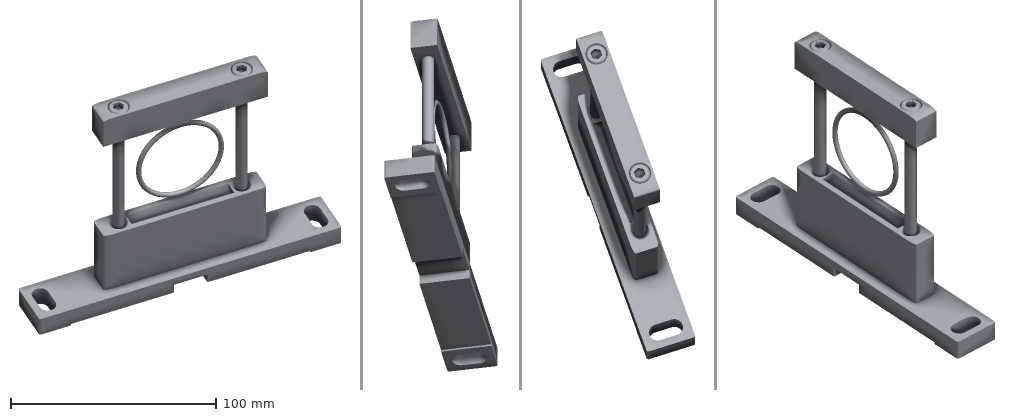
import cadquery as cq
import math

base_length = 162.0
base_width = 25.0
base_height = 10.2
base_corner_radius = 1.0
foot_length = 16.8
foot_height = 1.0
notch_width = 18.0
notch_height = 6.0
slot_length = 17.0
slot_width = 8.5
slot_end_distance = 8.1

block_length = 87.3
block_width = 13.3
block_top = 45.5
block_corner_radius = 1.1
groove_length = 55.0
groove_width = 7.3
groove_half_angle = 30.0

bar_length = 88.3
bar_width = block_width
bar_height = 17.0
bar_top = 121.5
bar_edge_radius = 0.8
bar_bottom = bar_top - bar_height

easing_length = 4.5
easing_radius = 13.0

screw_spacing = 66.0
shank_diameter = 6.0
head_diameter = 10.0
head_height = 6.0
head_chamfer = 0.6
shank_length = 80.0
socket_flats = 5.0
socket_tip_diameter = 4.9
socket_depth = 3.0
socket_tip_half_angle = 60.0
clearance_diameter = 6.5
counterbore_diameter = 10.4
counterbore_chamfer = 0.5
countersink_diameter = 9.5
screw_places = [-screw_spacing / 2, screw_spacing / 2]
head_seat = bar_top - head_height
screw_end = head_seat - shank_length

ring_outer_diameter = 47.0
ring_section_diameter = 2.6
ring_center_height = 75.0


def make_base():
    """Slotted plate with a raised underside between two feet and a central notch."""
    base = (
        cq.Workplane("XY")
        .box(base_width, base_length, base_height, centered=(True, True, False))
        .edges("|Z")
        .fillet(base_corner_radius)
    )
    relief = cq.Workplane("XY").box(
        base_width, base_length - 2 * foot_length, foot_height, centered=(True, True, False)
    )
    notch = cq.Workplane("XY").box(base_width, notch_width, notch_height, centered=(True, True, False))
    slot_place = base_length / 2 - slot_end_distance
    slots = (
        cq.Workplane("XY")
        .pushPoints([(0, -slot_place), (0, slot_place)])
        .slot2D(slot_length, slot_width)
        .extrude(base_height)
    )
    return base.cut(relief).cut(notch).cut(slots)


def easing_drop(distance):
    """Depth of the easing arc at a distance from where it leaves the flat face."""
    return easing_radius - math.sqrt(easing_radius**2 - distance**2)


def make_block():
    """Upright block whose long sides curve inward near each rounded end."""
    half_width = block_width / 2
    half_length = block_length / 2
    arc_start = half_length - easing_length
    corner_x = half_width - easing_drop(easing_length)
    middle_y = arc_start + easing_length / 2
    middle_x = half_width - easing_drop(easing_length / 2)
    return (
        cq.Workplane("XY")
        .workplane(offset=base_height)
        .moveTo(half_width, -arc_start)
        .lineTo(half_width, arc_start)
        .threePointArc((middle_x, middle_y), (corner_x, half_length))
        .lineTo(-corner_x, half_length)
        .threePointArc((-middle_x, middle_y), (-half_width, arc_start))
        .lineTo(-half_width, -arc_start)
        .threePointArc((-middle_x, -middle_y), (-corner_x, -half_length))
        .lineTo(corner_x, -half_length)
        .threePointArc((middle_x, -middle_y), (half_width, -arc_start))
        .close()
        .extrude(block_top - base_height)
        .edges("(>Y or <Y) and |Z")
        .fillet(block_corner_radius)
    )


def make_groove():
    """V-shaped cutter that narrows to a line below the top of the block."""
    groove_depth = groove_width / 2 / math.tan(math.radians(groove_half_angle))
    return (
        cq.Workplane("XZ")
        .moveTo(-groove_width / 2, block_top)
        .lineTo(groove_width / 2, block_top)
        .lineTo(0, block_top - groove_depth)
        .close()
        .extrude(groove_length / 2, both=True)
    )


def make_screw_hole(place):
    """Cutter for one countersunk blind hole that fits the end of a screw shank."""
    hole_radius = shank_diameter / 2
    sink_radius = countersink_diameter / 2
    sink_depth = sink_radius - hole_radius
    return (
        cq.Workplane("XZ", origin=(0, place, 0))
        .moveTo(0, screw_end)
        .lineTo(hole_radius, screw_end)
        .lineTo(hole_radius, block_top - sink_depth)
        .lineTo(sink_radius, block_top)
        .lineTo(0, block_top)
        .close()
        .revolve(360, (0, 0, 0), (0, 1, 0))
    )


def make_holder():
    """Base and block in one piece, with the groove and both screw holes."""
    holder = make_base().union(make_block()).cut(make_groove())
    for place in screw_places:
        holder = holder.cut(make_screw_hole(place))
    return holder


def make_bar():
    """Bar with eased top ends and two counterbored clearance holes."""
    half_length = bar_length / 2
    arc_start = half_length - easing_length
    end_top = bar_top - easing_drop(easing_length)
    middle_y = arc_start + easing_length / 2
    middle_z = bar_top - easing_drop(easing_length / 2)
    bar = (
        cq.Workplane("YZ")
        .moveTo(-half_length, bar_bottom)
        .lineTo(half_length, bar_bottom)
        .lineTo(half_length, end_top)
        .threePointArc((middle_y, middle_z), (arc_start, bar_top))
        .lineTo(-arc_start, bar_top)
        .threePointArc((-middle_y, middle_z), (-half_length, end_top))
        .close()
        .extrude(bar_width / 2, both=True)
    )
    bar = bar.faces(">Y or <Y").edges(">Z").fillet(bar_edge_radius)
    bar = (
        bar.faces(">Z")
        .workplane(origin=(0, 0, bar_top))
        .pushPoints([(0, place) for place in screw_places])
        .cboreHole(clearance_diameter, counterbore_diameter, bar_top - head_seat)
    )
    return bar.faces(">Z").edges("%CIRCLE").chamfer(counterbore_chamfer)


def make_screw(place):
    """Socket head screw pointing down, with a hexagonal socket and a conical socket floor."""
    head = (
        cq.Workplane("XY", origin=(0, place, head_seat))
        .circle(head_diameter / 2)
        .extrude(head_height)
        .faces(">Z")
        .edges()
        .chamfer(head_chamfer)
    )
    shank = (
        cq.Workplane("XY", origin=(0, place, screw_end))
        .circle(shank_diameter / 2)
        .extrude(shank_length)
    )
    socket_floor = bar_top - socket_depth
    socket = (
        cq.Workplane("XY", origin=(0, place, socket_floor))
        .polygon(6, socket_flats, circumscribed=True)
        .extrude(socket_depth)
    )
    tip_radius = socket_tip_diameter / 2
    tip_depth = tip_radius / math.tan(math.radians(socket_tip_half_angle))
    socket_tip = cq.Workplane(
        cq.Solid.makeCone(0, tip_radius, tip_depth, cq.Vector(0, place, socket_floor - tip_depth))
    )
    return head.union(shank).cut(socket).cut(socket_tip)


def make_ring():
    """Round-section ring whose axis runs along X."""
    section_radius = ring_section_diameter / 2
    ring_radius = ring_outer_diameter / 2 - section_radius
    return cq.Workplane(
        cq.Solid.makeTorus(
            ring_radius, section_radius, cq.Vector(0, 0, ring_center_height), cq.Vector(1, 0, 0)
        )
    )


holder = make_holder()
bar = make_bar()
screws = [make_screw(place) for place in screw_places]
ring = make_ring()

result = cq.Compound.makeCompound(
    [holder.val(), bar.val(), *[screw.val() for screw in screws], ring.val()]
)